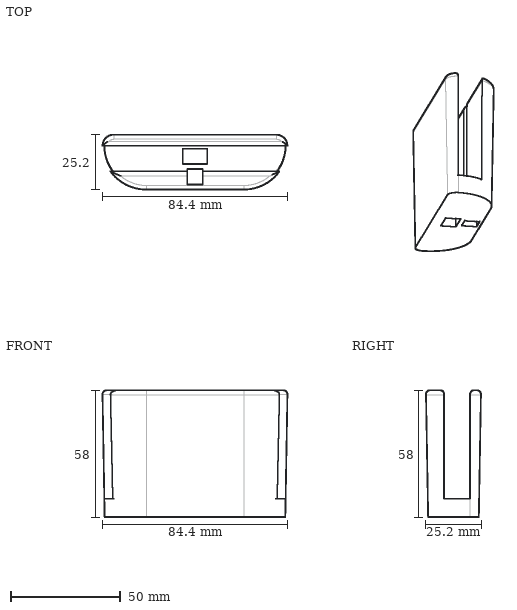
import cadquery as cq
import math

rim_length = 84.45
rim_depth = 25.2
height = 58.0
draft_angle = 1.0
rim_fillet = 2.0
front_rim_radius = 19.9
back_rim_radius = rim_depth - front_rim_radius

slot_front = -4.2
slot_back = 7.5
floor_thickness = 8.45

window_length = 11.0
window_width = 6.9
window_y = 2.6

channel_size = 6.9
channel_y = -6.7

rim_height = height - rim_fillet
base_inset = rim_height * math.tan(math.radians(draft_angle))
half_length = rim_length / 2 - base_inset
half_depth = rim_depth / 2 - base_inset
front_radius = front_rim_radius - base_inset
back_radius = back_rim_radius - base_inset
diagonal = math.sqrt(0.5)


def make_body():
    """Drafted D-shaped block with large front and small back corner arcs."""
    front_x = half_length - front_radius
    back_x = half_length - back_radius
    arc_y = front_radius - half_depth
    front_mid = (front_x + front_radius * diagonal, arc_y - front_radius * diagonal)
    back_mid = (back_x + back_radius * diagonal, arc_y + back_radius * diagonal)
    return (
        cq.Workplane("XY")
        .moveTo(-front_x, -half_depth)
        .lineTo(front_x, -half_depth)
        .threePointArc(front_mid, (half_length, arc_y))
        .threePointArc(back_mid, (back_x, half_depth))
        .lineTo(-back_x, half_depth)
        .threePointArc((-back_mid[0], back_mid[1]), (-half_length, arc_y))
        .threePointArc((-front_mid[0], front_mid[1]), (-front_x, -half_depth))
        .close()
        .extrude(height, taper=-draft_angle)
    )


def make_slot():
    """Open-ended, open-topped slot above the floor."""
    return (
        cq.Workplane("XY", origin=(0, (slot_front + slot_back) / 2, floor_thickness))
        .box(2 * rim_length, slot_back - slot_front, height, centered=(True, True, False))
    )


def make_opening(length, width, y):
    """Rectangular prism through the full height, centred on X."""
    return cq.Workplane("XY", origin=(0, y, 0)).rect(length, width).extrude(height)


result = make_body().cut(make_slot())
result = result.faces(">Z").edges().fillet(rim_fillet)
result = result.cut(make_opening(window_length, window_width, window_y))
result = result.cut(make_opening(channel_size, channel_size, channel_y))